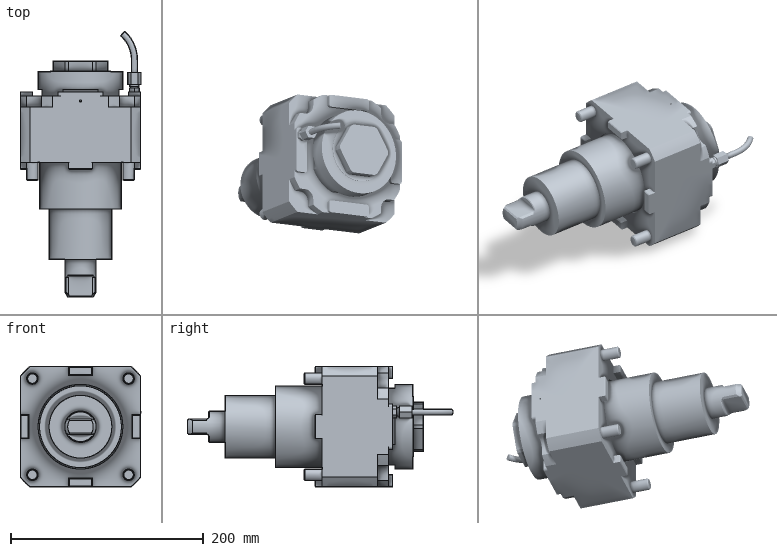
import cadquery as cq
import math


overall_length = 276.0

housing_width = 125.0
half_width = housing_width / 2
corner_flat_reach = 52.5
corner_turn_dia = 2 * math.hypot(half_width, corner_flat_reach)
shoulder_y = 57.5
rear_y = 69.0
rear_turn_dia = 137.7

screw_offset = 50.0
screw_dia = 12.0
screw_reach = 18.8
screw_tip_chamfer = 0.97
pocket_wall = 40.3
pocket_radius = screw_offset - pocket_wall

pad_length = 47.0
pad_depth = 12.7
pad_height = 4.1
pad_fillet = 2.5
tab_length = 24.8
tab_depth = 9.0
tab_height = 7.5
tab_chamfer = 0.8

index_hole_y = 63.8
index_hole_depth = 2.8
index_hole_dia = 2.1

boss_dia = 85.0
boss_end = -48.5
boss_recess_dia = 88.0
boss_recess_depth = 2.8
sleeve_dia = 65.0
sleeve_end = -100.7

shaft_dia = 32.5
shaft_end = -140.0
tang_length = 22.0
tang_thickness = 16.0
tang_root_fillet = 2.0
tang_flat_half_width = 12.5
tang_bevel_width = 2.5
tang_bevel_drop = 1.5
tang_tip_chamfer = 1.5
tip_taper_length = 5.2
tip_taper_drop = 3.0
shoulder_chamfer = 0.8

disc_dia = 88.0
disc_end = 94.0
disc_flat_end = 75.5
disc_flat_width = 80.0
washer_dia = 62.5
washer_height = 0.5
hex_across_flats = 51.0
hex_turn_dia = 56.9
hex_end = 105.2

gland_x = 56.0
gland_z = 15.2
gland_base_flats = 10.5
gland_base_end = 77.3
gland_neck_dia = 8.3
gland_neck_end = 79.0
gland_ring_dia = 10.0
gland_ring_end = 80.5
gland_nut_corner_dia = 14.0
gland_nut_end = 93.3
cable_dia = 6.3
cable_bend_angle = 48.0
cable_bend_radius = 36.7
cable_tip_y = overall_length + shaft_end


def section(y, x=0, z=0):
    """Sketch plane across the spindle axis; extruding by a positive value goes towards -Y."""
    return cq.Workplane("XZ", origin=(x, y, z))


def cylinder(dia, y_start, y_end, x=0, z=0):
    return section(y_start, x, z).circle(dia / 2).extrude(y_start - y_end)


def across_corners(across_flats):
    """Corner diameter of a hexagon."""
    return across_flats / math.cos(math.pi / 6)


def four_sides(body):
    """Place copies of a body on the four sides of the spindle axis."""
    sides = body
    for turn in range(1, 4):
        sides = sides.union(body.rotate((0, 0, 0), (0, 1, 0), 90 * turn))
    return sides


def make_housing():
    body = section(0).rect(housing_width, housing_width).extrude(-shoulder_y)
    body = body.intersect(cylinder(corner_turn_dia, 0, shoulder_y))
    rear = section(shoulder_y).rect(housing_width, housing_width).extrude(shoulder_y - rear_y)
    rear = rear.intersect(cylinder(rear_turn_dia, shoulder_y, rear_y))
    pocket_size = half_width - pocket_wall + pocket_radius
    pocket_middle = pocket_wall + pocket_size / 2
    pocket = (
        section(shoulder_y, pocket_middle, pocket_middle)
        .rect(pocket_size, pocket_size)
        .extrude(shoulder_y - rear_y)
        .edges("|Y")
        .fillet(pocket_radius)
    )
    return body.union(rear.cut(four_sides(pocket)))


def make_pads():
    pad = (
        section(rear_y, 0, half_width - pad_depth / 2)
        .rect(pad_length, pad_depth)
        .extrude(-pad_height)
        .edges("|Y")
        .fillet(pad_fillet)
    )
    return four_sides(pad)


def make_tabs():
    tab = (
        section(0, 0, half_width - tab_depth / 2)
        .rect(tab_length, tab_depth)
        .extrude(tab_height)
        .faces("<Y")
        .chamfer(tab_chamfer)
    )
    return four_sides(tab)


def make_screws():
    screw = cylinder(screw_dia, 0, -screw_reach, screw_offset, screw_offset)
    return four_sides(screw.faces("<Y").chamfer(screw_tip_chamfer))


def make_index_holes():
    top_hole = (
        cq.Workplane("XY", origin=(0, index_hole_y, half_width))
        .circle(index_hole_dia / 2)
        .extrude(-index_hole_depth)
    )
    side_hole = (
        cq.Workplane("YZ", origin=(-half_width, index_hole_y, 0))
        .circle(index_hole_dia / 2)
        .extrude(index_hole_depth)
    )
    return top_hole.union(side_hole)


def make_tang():
    """Flat tang with bevelled edges, before its ends are turned to the shaft outline."""
    half_thickness = tang_thickness / 2
    outer_x = tang_flat_half_width + 2 * tang_bevel_width
    outer_z = half_thickness - 2 * tang_bevel_drop
    corners = [
        (tang_flat_half_width, half_thickness),
        (outer_x, outer_z),
        (outer_x, -outer_z),
        (tang_flat_half_width, -half_thickness),
        (-tang_flat_half_width, -half_thickness),
        (-outer_x, -outer_z),
        (-outer_x, outer_z),
        (-tang_flat_half_width, half_thickness),
    ]
    blade = section(shaft_end).polyline(corners).close().extrude(-tang_length)
    return blade.faces("<Y").chamfer(tang_tip_chamfer)


def make_tang_root():
    """Filleted transition between the flats of the tang and the shoulder of the shaft."""
    half_thickness = tang_thickness / 2
    shoulder = shaft_end + tang_length
    fillet_start = shoulder - tang_root_fillet
    root = half_thickness + tang_root_fillet
    return (
        cq.Workplane("YZ", origin=(-shaft_dia / 2, 0, 0))
        .moveTo(shoulder, -root)
        .radiusArc((fillet_start, -half_thickness), -tang_root_fillet)
        .lineTo(fillet_start, half_thickness)
        .radiusArc((shoulder, root), -tang_root_fillet)
        .lineTo(shoulder + shoulder_chamfer, root)
        .lineTo(shoulder + shoulder_chamfer, -root)
        .close()
        .extrude(shaft_dia)
    )


def make_shaft():
    radius = shaft_dia / 2
    shoulder = shaft_end + tang_length
    stem = cylinder(shaft_dia, sleeve_end, shoulder).faces("<Y").chamfer(shoulder_chamfer)
    turned_tip = (
        cq.Workplane("XY")
        .moveTo(0, sleeve_end)
        .lineTo(radius, sleeve_end)
        .lineTo(radius, shaft_end + tip_taper_length)
        .lineTo(radius - tip_taper_drop, shaft_end)
        .lineTo(0, shaft_end)
        .close()
        .revolve(360, (0, 0, 0), (0, 1, 0))
    )
    return stem.union(make_tang().union(make_tang_root()).intersect(turned_tip))


def make_disc():
    disc = cylinder(disc_dia, rear_y, disc_flat_end)
    square = section(rear_y).rect(disc_flat_width, disc_flat_width).extrude(rear_y - disc_flat_end)
    lip = cylinder(disc_dia, disc_flat_end, disc_end)
    disc = disc.intersect(square).union(lip)
    washer_end = disc_end + washer_height
    washer = cylinder(washer_dia, disc_end, washer_end)
    hexagon = section(washer_end).polygon(6, across_corners(hex_across_flats)).extrude(washer_end - hex_end)
    hexagon = hexagon.intersect(cylinder(hex_turn_dia, washer_end, hex_end))
    return disc.union(washer).union(hexagon)


def make_gland():
    pad_top = rear_y + pad_height
    base = (
        section(pad_top, gland_x, gland_z)
        .transformed(rotate=(0, 0, 30))
        .polygon(6, across_corners(gland_base_flats))
        .extrude(pad_top - gland_base_end)
    )
    neck = cylinder(gland_neck_dia, gland_base_end, gland_neck_end, gland_x, gland_z)
    ring = cylinder(gland_ring_dia, gland_neck_end, gland_ring_end, gland_x, gland_z)
    nut = (
        section(gland_ring_end, gland_x, gland_z)
        .polygon(6, gland_nut_corner_dia)
        .extrude(gland_ring_end - gland_nut_end)
    )
    return base.union(neck).union(ring).union(nut)


def make_cable():
    bend = math.radians(cable_bend_angle)
    bend_start = cable_tip_y - (cable_bend_radius + cable_dia / 2) * math.sin(bend)
    straight = cylinder(cable_dia, gland_nut_end, bend_start, gland_x, gland_z)
    curved = (
        section(bend_start, gland_x, gland_z)
        .circle(cable_dia / 2)
        .revolve(cable_bend_angle, (-cable_bend_radius, 0, 0), (-cable_bend_radius, 1, 0))
    )
    return straight.union(curved)


boss_recess = cylinder(boss_recess_dia, 0, boss_recess_depth)
result = (
    make_housing()
    .cut(boss_recess)
    .cut(make_index_holes())
    .union(cylinder(boss_dia, boss_recess_depth, boss_end))
    .union(cylinder(sleeve_dia, boss_end, sleeve_end))
    .union(make_shaft())
    .union(make_pads())
    .union(make_tabs())
    .union(make_screws())
    .union(make_disc())
    .union(make_gland())
    .union(make_cable())
)